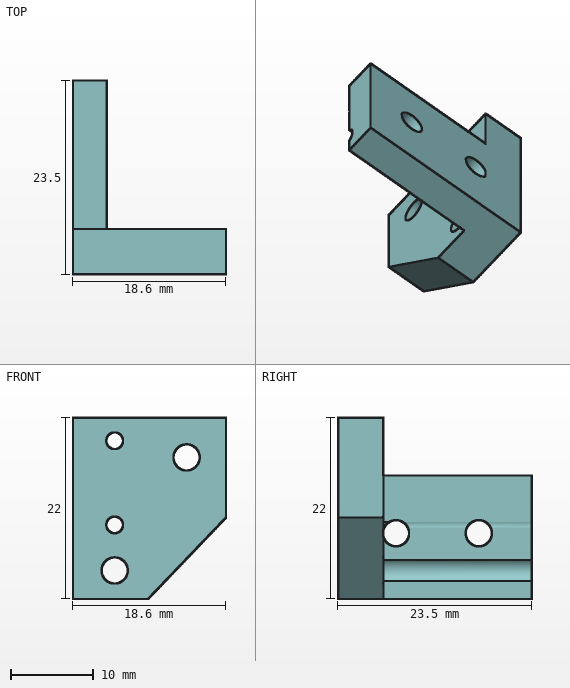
import cadquery as cq

width = 18.6
depth = 23.5
height = 22.0

plate_thickness = 5.5
bottom_edge_length = 9.12
right_edge_bottom = 9.9

arm_thickness = 4.14
arm_height = 15.0

screw_diameter = 3.15
pin_diameter = 2.0
hole_column_x = 5.08
pin_heights = (9.0, 19.2)
plate_screw_positions = ((hole_column_x, 3.48), (13.8, 17.18))
arm_screw_depths = (7.03, 17.05)
arm_screw_height = 8.0


def make_plate():
    """Upright plate with its front face at y = 0."""
    outline = [
        (0, 0),
        (bottom_edge_length, 0),
        (width, right_edge_bottom),
        (width, height),
        (0, height),
    ]
    return cq.Workplane("XZ").polyline(outline).close().extrude(-plate_thickness)


def make_arm():
    """Side arm behind the plate, with its screw holes along X."""
    arm_length = depth - plate_thickness
    arm = cq.Workplane("XY").box(arm_thickness, arm_length, arm_height, centered=False)
    arm = arm.translate((0, plate_thickness, 0))
    positions = [(y, arm_screw_height) for y in arm_screw_depths]
    holes = cq.Workplane("YZ").pushPoints(positions).circle(screw_diameter / 2).extrude(arm_thickness)
    return arm.cut(holes)


def holes_along_y(positions, diameter):
    """Cylinders running the full depth of the part."""
    return cq.Workplane("XZ").pushPoints(positions).circle(diameter / 2).extrude(-depth)


pin_positions = [(hole_column_x, z) for z in pin_heights]

result = (
    make_plate()
    .union(make_arm())
    .cut(holes_along_y(plate_screw_positions, screw_diameter))
    .cut(holes_along_y(pin_positions, pin_diameter))
)